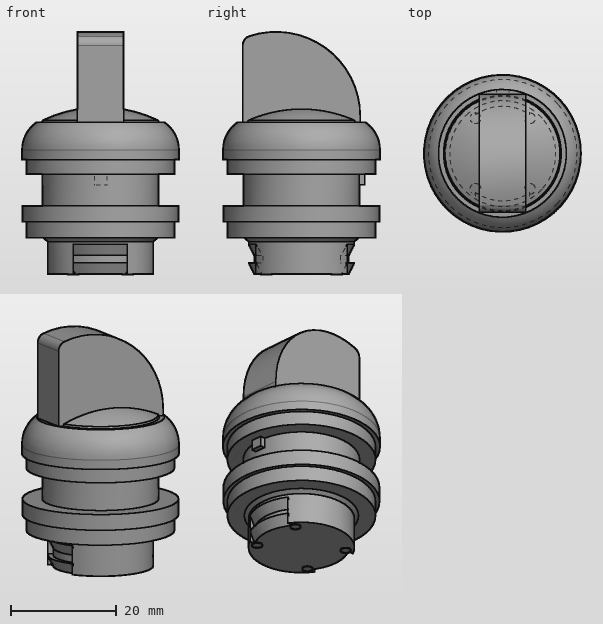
import cadquery as cq
import math

total_height = 45.9
base_z = 0.15
flare_start_z = 6.3
lower_ring_z = 6.98
flange_z = 10.0
neck_z = 13.05
gasket_z = 19.0
bezel_z = 21.75
dome_rim_z = 28.83
dome_edge_z = 29.2
dome_apex_z = 31.65

base_radius = 20.0 / 2
flare_radius = 10.8
ring_radius = 28.0 / 2
flange_radius = 29.5 / 2
neck_radius = 22.0 / 2
bezel_radius = 29.7 / 2
bezel_top_radius = 12.05
dome_rim_radius = 11.1
dome_edge_radius = 10.9
bezel_round_radius = 6.35

grip_width = 8.7
grip_half_length = 11.1
grip_top_radius = 15.95
grip_corner_radius = 1.85

snap_width = 10.2
snap_root_radius = 8.95
snap_top_z = 5.75
upper_tooth_bottom_z = 3.65
lower_tooth_top_z = 2.25

key_width = 2.3
key_reach = 12.0
key_bottom_z = 17.0

foot_radius = 1.0
foot_spacing_x = 10.3
foot_spacing_y = 13.3


def make_body():
    """Revolved body: base, flange, neck, rounded bezel and domed cap."""
    round_center_r = bezel_radius - bezel_round_radius
    round_end_angle = math.acos((bezel_top_radius - round_center_r) / bezel_round_radius)
    round_start_z = dome_rim_z - bezel_round_radius * math.sin(round_end_angle)
    round_mid = (
        round_center_r + bezel_round_radius * math.cos(round_end_angle / 2),
        round_start_z + bezel_round_radius * math.sin(round_end_angle / 2),
    )
    dome_height = dome_apex_z - dome_edge_z
    dome_radius = (dome_edge_radius**2 + dome_height**2) / (2 * dome_height)
    dome_mid_r = dome_edge_radius / 2
    dome_mid_z = dome_apex_z - dome_radius + math.sqrt(dome_radius**2 - dome_mid_r**2)

    profile = (
        cq.Workplane("XZ")
        .moveTo(0, base_z)
        .lineTo(base_radius, base_z)
        .lineTo(base_radius, flare_start_z)
        .lineTo(flare_radius, lower_ring_z)
        .lineTo(ring_radius, lower_ring_z)
        .lineTo(ring_radius, flange_z)
        .lineTo(flange_radius, flange_z)
        .lineTo(flange_radius, neck_z)
        .lineTo(neck_radius, neck_z)
        .lineTo(neck_radius, gasket_z)
        .lineTo(ring_radius, gasket_z)
        .lineTo(ring_radius, bezel_z)
        .lineTo(bezel_radius, bezel_z)
        .lineTo(bezel_radius, round_start_z)
        .threePointArc(round_mid, (bezel_top_radius, dome_rim_z))
        .lineTo(dome_rim_radius, dome_rim_z)
        .lineTo(dome_edge_radius, dome_edge_z)
        .threePointArc((dome_mid_r, dome_mid_z), (0, dome_apex_z))
        .close()
    )
    return profile.revolve(360, (0, 0, 0), (0, 1, 0))


def make_grip():
    """Upright grip whose top is an arc that peaks near its -Y face."""
    center_y = grip_half_length - grip_top_radius
    center_z = total_height - grip_top_radius
    front_drop_y = grip_half_length + center_y
    front_z = center_z + math.sqrt(grip_top_radius**2 - front_drop_y**2)
    diagonal = grip_top_radius * math.sqrt(0.5)
    front_mid_y = center_y - front_drop_y / 2
    front_mid_z = center_z + math.sqrt(grip_top_radius**2 - (front_drop_y / 2) ** 2)

    grip = (
        cq.Workplane("YZ", origin=(-grip_width / 2, 0, 0))
        .moveTo(-grip_half_length, dome_rim_z)
        .lineTo(grip_half_length, dome_rim_z)
        .lineTo(grip_half_length, center_z)
        .threePointArc((center_y + diagonal, center_z + diagonal), (center_y, total_height))
        .threePointArc((front_mid_y, front_mid_z), (-grip_half_length, front_z))
        .close()
        .extrude(grip_width)
    )
    corner = cq.selectors.NearestToPointSelector((0, -grip_half_length, front_z))
    return grip.edges(corner).fillet(grip_corner_radius)


def make_snap_cutter():
    """Material to remove on the +Y and -Y sides to leave two sloped teeth on each."""
    cut_clearance = 0.45
    outside = base_radius + cut_clearance
    ring = (
        cq.Workplane("XZ")
        .moveTo(snap_root_radius, base_z)
        .lineTo(base_radius, lower_tooth_top_z)
        .lineTo(snap_root_radius, lower_tooth_top_z)
        .lineTo(snap_root_radius, upper_tooth_bottom_z)
        .lineTo(base_radius, snap_top_z)
        .lineTo(outside, snap_top_z)
        .lineTo(outside, base_z)
        .close()
        .revolve(360, (0, 0, 0), (0, 1, 0))
    )
    window = cq.Workplane("XY").box(snap_width, 2 * outside, 2 * snap_top_z)
    return ring.intersect(window)


def make_key():
    """Small locating key along the +Y side of the neck."""
    return (
        cq.Workplane("XY", origin=(0, key_reach / 2, key_bottom_z))
        .rect(key_width, key_reach)
        .extrude(bezel_z - key_bottom_z)
    )


def make_feet():
    """Four thin round feet below the base."""
    return (
        cq.Workplane("XY")
        .rect(foot_spacing_x, foot_spacing_y, forConstruction=True)
        .vertices()
        .circle(foot_radius)
        .extrude(lower_tooth_top_z)
    )


result = make_body().cut(make_snap_cutter()).union(make_grip()).union(make_key()).union(make_feet())